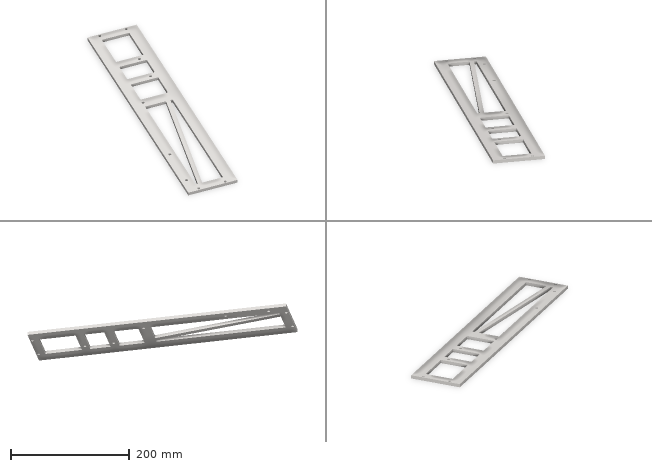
import cadquery as cq

length = 448.0
width = 90.0
thickness = 6.0

window_height = 50.0
window_top = window_height / 2

square_window = (15.2, 79.0)
narrow_window = (93.0, 128.5)
rounded_window = (144.0, 187.5)
corner_radius = 1.65

braced_left = 208.0
braced_right = 432.0
braced_middle = (braced_left + braced_right) / 2
cutout_short_side = 4.0
cutout_long_side = 38.0

hole_diameter = 5.0
end_hole_inset = 4.0
end_hole_y = 24.0
divider_hole_xs = (86.5, 136.0)
divider_hole_y = 14.5
post_hole = (196.5, -end_hole_y)
edge_hole_xs = (341.5, 415.7)
edge_hole_y = -35.0


def window(sides):
    """Rectangular cutter through the plate between two X positions."""
    left, right = sides
    return (
        cq.Workplane("XY")
        .center((left + right) / 2, 0)
        .rect(right - left, window_height)
        .extrude(thickness)
    )


def holes(points):
    """Round cutters through the plate at the given points."""
    return cq.Workplane("XY").pushPoints(points).circle(hole_diameter / 2).extrude(thickness)


plate = cq.Workplane("XY").box(length, width, thickness, centered=(False, True, False))

plate = plate.cut(window(square_window)).cut(window(narrow_window))
plate = plate.cut(window(rounded_window).edges("|Z and >X").fillet(corner_radius))

upper_cutout = (
    cq.Workplane("XY")
    .moveTo(braced_left, window_top)
    .lineTo(braced_right, window_top)
    .lineTo(braced_right, window_top - cutout_long_side)
    .lineTo(braced_left, window_top - cutout_short_side)
    .close()
    .extrude(thickness)
)
lower_cutout = upper_cutout.rotate((braced_middle, 0, 0), (braced_middle, 0, 1), 180)
plate = plate.cut(upper_cutout).cut(lower_cutout)

end_points = [
    (x, y)
    for x in (end_hole_inset, length - end_hole_inset)
    for y in (-end_hole_y, end_hole_y)
]
plate = plate.cut(holes(end_points))

inner_points = [(x, divider_hole_y) for x in divider_hole_xs]
inner_points += [(x, edge_hole_y) for x in edge_hole_xs]
inner_points.append(post_hole)
plate = plate.cut(holes(inner_points))

result = plate